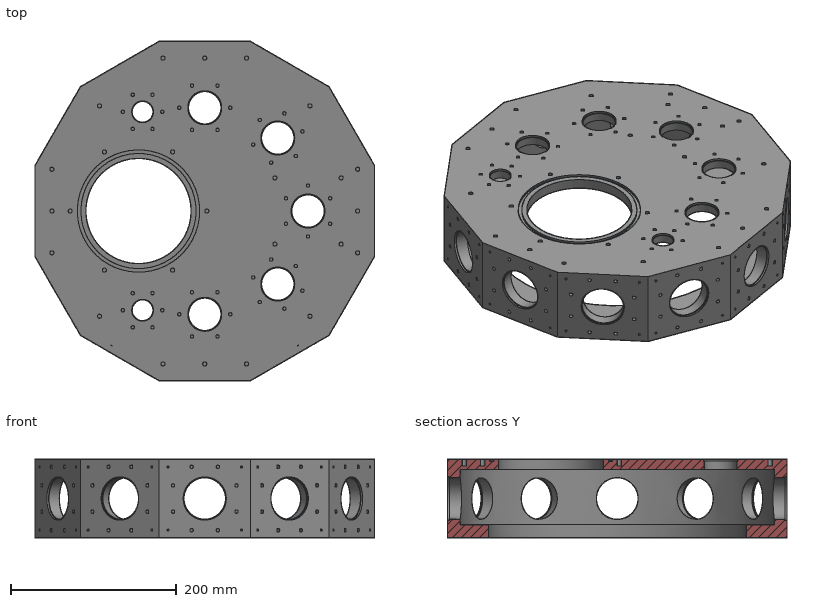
import cadquery as cq
import math

SIDES = 12
SECTOR = 360 / SIDES
ACROSS_FLATS = 410.5
HEIGHT = 95.2
CAVITY_DIAMETER = 379.7
LID = 12.7
FLOOR = 16.0
FLOOR_OPENING_DIAMETER = 311.5

RING_SCREWS = 6
LARGE_SCREW = 5.0
SMALL_SCREW = 4.02
PIN = 2.25
LARGE_SCREW_DEPTH = 8.2
SMALL_SCREW_DEPTH = 8.2
PIN_DEPTH = 4.0

MOUTH_DEPTH = 2.5

WINDOW_BORE = 50.0
WINDOW_MOUTH = 52.0
WINDOW_SCREWS = 8
WINDOW_SCREW_RADIUS = 41.5
PIN_OFFSET_ACROSS = 44.5
PIN_OFFSET_UP = 38.0

MAIN_X = -80.0
MAIN_BORE = 127.0
GROOVE_INNER = 139.0
GROOVE_OUTER = 147.8
GROOVE_DEPTH = 2.5
MAIN_SCREW_RADIUS = 82.5

PORT_CIRCLE_RADIUS = 125.0
PORT_ANGLES = (-90, -45, 0, 45, 90)
PORT_BORE = 39.0
PORT_MOUTH = 41.0
PORT_SCREW_RADIUS = 30.8
SMALL_PORT_X = -75.0
SMALL_PORT_Y = 120.0
SMALL_PORT_BORE = 25.0
SMALL_PORT_MOUTH = 26.3
SMALL_PORT_SCREW_RADIUS = 24.0

MOUNT_SQUARE = 80.0
EDGE_ROW_DISTANCE = 184.7
EDGE_ROW_PITCH = 50.5
CORNER_SCREW_RADIUS = 180.0

TOP = HEIGHT / 2
APOTHEM = ACROSS_FLATS / 2
THINNEST_WALL = APOTHEM - CAVITY_DIAMETER / 2


def polar(radius, angle):
    return radius * math.cos(math.radians(angle)), radius * math.sin(math.radians(angle))


def ring(count, radius, start=0.0, centre=(0.0, 0.0)):
    """Points evenly spaced on a circle."""
    offsets = [polar(radius, start + i * 360 / count) for i in range(count)]
    return [(centre[0] + x, centre[1] + y) for x, y in offsets]


def drill(plane, points, diameter, depth):
    """Straight holes going down from a plane."""
    return plane.pushPoints(points).circle(diameter / 2).extrude(-depth)


def stepped_bore(plane, centre, bore, mouth, depth):
    """Through bore with a shallow, slightly wider recess at its mouth."""
    hole = drill(plane, [centre], bore, depth)
    recess = drill(plane, [centre], mouth, MOUTH_DEPTH)
    return hole.union(recess)


def lid_plane():
    return cq.Workplane("XY", origin=(0, 0, TOP))


def side_cutters(angle):
    """Window, screw holes and corner pin holes of the wall facing the given angle."""
    normal = (*polar(1, angle), 0)
    across = (*polar(1, angle + 90), 0)
    face = cq.Workplane(cq.Plane(polar(APOTHEM, angle) + (0,), across, normal))
    screws = ring(WINDOW_SCREWS, WINDOW_SCREW_RADIUS, 180 / WINDOW_SCREWS)
    pins = [(x * PIN_OFFSET_ACROSS, y * PIN_OFFSET_UP) for x in (-1, 1) for y in (-1, 1)]
    return [
        stepped_bore(face, (0, 0), WINDOW_BORE, WINDOW_MOUTH, 2 * THINNEST_WALL),
        drill(face, screws, SMALL_SCREW, SMALL_SCREW_DEPTH),
        drill(face, pins, PIN, PIN_DEPTH),
    ]


def port_cutters(centre, bore, mouth, screw_radius, screw_start):
    """Lid port with its ring of screw holes."""
    screws = ring(RING_SCREWS, screw_radius, screw_start, centre)
    return [
        stepped_bore(lid_plane(), centre, bore, mouth, LID),
        drill(lid_plane(), screws, SMALL_SCREW, SMALL_SCREW_DEPTH),
    ]


def main_opening_cutters():
    """Large lid opening, its seal groove and its screw holes."""
    centre = (MAIN_X, 0)
    groove_outline = lid_plane().center(*centre).circle(GROOVE_OUTER / 2).circle(GROOVE_INNER / 2)
    screws = ring(RING_SCREWS, MAIN_SCREW_RADIUS, 0, centre)
    return [
        drill(lid_plane(), [centre], MAIN_BORE, LID),
        groove_outline.extrude(-GROOVE_DEPTH),
        drill(lid_plane(), screws, LARGE_SCREW, LARGE_SCREW_DEPTH),
    ]


def lid_screw_points():
    """Rows along four edges, one hole near each diagonal corner, and a square around the +X port."""
    points = ring(4, CORNER_SCREW_RADIUS, 45)
    points += ring(4, MOUNT_SQUARE / math.sqrt(2), 45, (PORT_CIRCLE_RADIUS, 0))
    row_radius = math.hypot(EDGE_ROW_DISTANCE, EDGE_ROW_PITCH)
    row_angle = math.degrees(math.atan2(EDGE_ROW_PITCH, EDGE_ROW_DISTANCE))
    points += ring(4, EDGE_ROW_DISTANCE)
    points += ring(4, row_radius, row_angle)
    points += ring(4, row_radius, -row_angle)
    return points


corner_diameter = ACROSS_FLATS / math.cos(math.radians(SECTOR / 2))
block = cq.Workplane("XY").polygon(SIDES, corner_diameter).extrude(TOP, both=True)
block = block.rotate((0, 0, 0), (0, 0, 1), SECTOR / 2)
cavity_height = HEIGHT - LID - FLOOR
cavity = cq.Workplane("XY", origin=(0, 0, FLOOR - TOP)).circle(CAVITY_DIAMETER / 2).extrude(cavity_height)
floor_opening = cq.Workplane("XY", origin=(0, 0, -TOP)).circle(FLOOR_OPENING_DIAMETER / 2).extrude(FLOOR)

cutters = [cavity, floor_opening]
for side in range(SIDES):
    cutters += side_cutters(side * SECTOR)
for port_angle in PORT_ANGLES:
    port_centre = polar(PORT_CIRCLE_RADIUS, port_angle)
    first_screw = port_angle + 180 / RING_SCREWS
    cutters += port_cutters(port_centre, PORT_BORE, PORT_MOUTH, PORT_SCREW_RADIUS, first_screw)
for port_y in (-SMALL_PORT_Y, SMALL_PORT_Y):
    port_centre = (SMALL_PORT_X, port_y)
    cutters += port_cutters(port_centre, SMALL_PORT_BORE, SMALL_PORT_MOUTH, SMALL_PORT_SCREW_RADIUS, 0)
cutters += main_opening_cutters()
cutters.append(drill(lid_plane(), lid_screw_points(), LARGE_SCREW, LARGE_SCREW_DEPTH))

result = block
for cutter in cutters:
    result = result.cut(cutter)